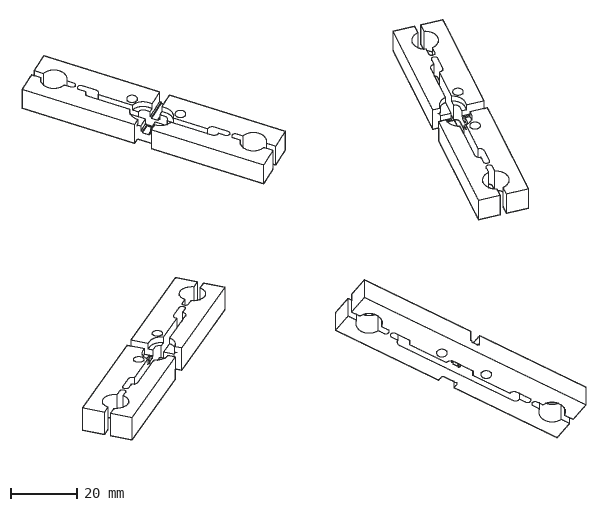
import cadquery as cq

length = 80.0
width = 16.0
height = 8.0
half_width = width / 2

bore_radius = 4.0
bore_x = 33.0
slit_width = 1.9
slit_y = -0.1
slit_inner_x = 26.0
slit_end_radius = 0.9

slot_end_x = 25.1
slot_drop = 1.5
slot_upper_step_x = 18.2
slot_lower_step_x = 21.9
hump_half_length = 4.7
slot_end_radius = 0.9
step_radius = 1.4

pin_radius = 1.6
pin_x = 8.0
pin_y = 1.8

pocket_radius = 4.0
pocket_center_x = 2.9
pocket_depth = 2.0

groove_width = 3.2
groove_depth = 4.1
groove_floor_width = 2.2
groove_floor_depth = 4.6

notch_width = 5.5
notch_floor_y = -5.9
notch_corner_radius = 0.5

slit_top = slit_y + slit_width / 2
slit_bottom = slit_y - slit_width / 2
slot_top = slit_top - slot_drop
slot_bottom = slit_bottom - slot_drop
pocket_y = (slot_top + slot_bottom) / 2


def block(x_min, x_max, y_min, y_max, depth=height):
    """Rectangular cutter reaching down from the top face."""
    return cq.Workplane("XY").box(x_max - x_min, y_max - y_min, depth, centered=False).translate(
        (x_min, y_min, height - depth)
    )


def end_clamp(side):
    """Bore and the slit through it; side is -1 or +1."""
    bore = cq.Workplane("XY").center(side * bore_x, 0).circle(bore_radius).extrude(height)
    bore = bore.translate((0, slit_y, 0))
    x_min, x_max = sorted((side * slit_inner_x, side * length / 2))
    inner_edges = "|Z and <X" if side > 0 else "|Z and >X"
    slit = block(x_min, x_max, slit_bottom, slit_top).edges(inner_edges).fillet(slit_end_radius)
    return bore.union(slit)


def middle_slot():
    """Through slot whose ends and central hump step up from its long straight run."""
    run = block(-slot_lower_step_x, slot_lower_step_x, slot_bottom, slit_bottom)
    run = run.edges("|Z and <Y").fillet(step_radius)
    run = run.union(block(-slot_upper_step_x, slot_upper_step_x, slit_bottom, slot_top))
    hump = block(-hump_half_length, hump_half_length, slot_top, slit_top)
    slot = run.union(hump.edges("|Z and >Y").fillet(step_radius))
    for side in (-1, 1):
        x_min, x_max = sorted((side * slot_upper_step_x, side * slot_end_x))
        outer, inner = (">X", "<X") if side > 0 else ("<X", ">X")
        arm = block(x_min, x_max, slit_bottom, slit_top)
        arm = arm.edges(f"|Z and {outer}").fillet(slot_end_radius)
        arm = arm.edges(f"|Z and {inner} and >Y").fillet(step_radius)
        slot = slot.union(arm)
    return slot


def pocket():
    """Obround pocket, opened through the front side along the notch."""
    obround = (
        cq.Workplane("XY", origin=(0, pocket_y, height))
        .slot2D(2 * (pocket_center_x + pocket_radius), 2 * pocket_radius)
        .extrude(-pocket_depth)
    )
    return obround.union(block(-notch_width / 2, notch_width / 2, -half_width, pocket_y, pocket_depth))


def cross_groove():
    """Groove across the full width with a narrower step in its floor."""
    upper = block(-groove_width / 2, groove_width / 2, -half_width, half_width, groove_depth)
    floor_half = groove_floor_width / 2
    return upper.union(block(-floor_half, floor_half, -half_width, half_width, groove_floor_depth))


def front_notch():
    """Full-height notch with rounded inner corners."""
    notch = block(-notch_width / 2, notch_width / 2, -half_width, notch_floor_y)
    return notch.edges("|Z and >Y").fillet(notch_corner_radius)


pin_holes = (
    cq.Workplane("XY").pushPoints([(-pin_x, pin_y), (pin_x, pin_y)]).circle(pin_radius).extrude(height)
)

result = block(-length / 2, length / 2, -half_width, half_width)
for end in (-1, 1):
    result = result.cut(end_clamp(end))
result = result.cut(middle_slot()).cut(pin_holes)
result = result.cut(pocket()).cut(cross_groove()).cut(front_notch())